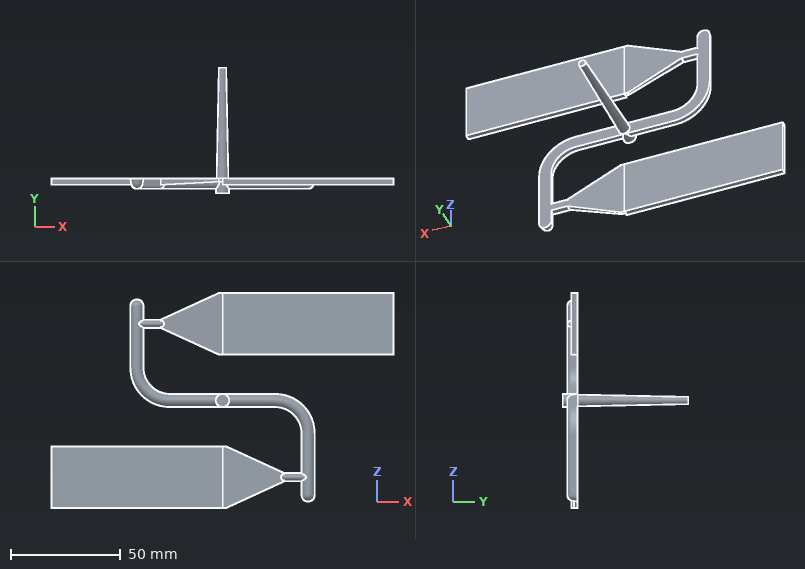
import cadquery as cq
import math


plate_length = 78.0
plate_height = 28.1
plate_thickness = 3.0
branch_z = 35.0

runner_width = 6.1
runner_depth = 4.8
arm_x = 39.0
arm_end_z = 43.0
bend_radius = 15.0

channel_draft = math.radians(10)

gate_width = 3.9
gate_depth = 4.7
gate_end_x = 28.1
land_length = 1.7
land_thickness = 1.5

sprue_length = 50.4
sprue_tip_diameter = 3.5
sprue_base_diameter = 5.5
slug_diameter = 6.1
slug_length = 6.9


def half_turn(shape):
    """Copy turned by 180 degrees about the sprue axis (Y)."""
    return shape.rotate((0, 0, 0), (0, 1, 0), 180)


def nose_points(width, depth):
    """Half width and depth of the wall's tangent point, and of a mid point on the round nose."""
    taper = math.tan(channel_draft)
    nose_radius = (width / 2 - depth * taper) / (1 / math.cos(channel_draft) - taper)
    centre_depth = depth - nose_radius

    def on_nose(angle):
        return (nose_radius * math.cos(angle), centre_depth + nose_radius * math.sin(angle))

    return on_nose(channel_draft), on_nose(math.pi / 4)


def channel_section(plane, width, depth):
    """Drafted channel with a full-round nose; local y is the depth."""
    (wall_x, wall_depth), _ = nose_points(width, depth)
    return (
        cq.Workplane(plane)
        .moveTo(-width / 2, 0)
        .lineTo(-wall_x, wall_depth)
        .threePointArc((0, depth), (wall_x, wall_depth))
        .lineTo(width / 2, 0)
        .close()
    )


def channel_end(width, depth, x, z):
    """Channel section revolved about its depth axis, rounding off a channel end."""
    (wall_x, wall_depth), nose_middle = nose_points(width, depth)
    plane = cq.Plane(origin=(x, 0, z), xDir=(1, 0, 0), normal=(0, 0, -1))
    return (
        cq.Workplane(plane)
        .lineTo(width / 2, 0)
        .lineTo(wall_x, wall_depth)
        .threePointArc(nose_middle, (0, depth))
        .close()
        .revolve(360, (0, 0), (0, 1))
    )


def channel(width, depth, start, direction, length):
    """Straight channel; its depth runs toward -Y."""
    run = cq.Vector(*direction)
    plane = cq.Plane(origin=start, xDir=cq.Vector(0, -1, 0).cross(run), normal=run)
    return channel_section(plane, width, depth).extrude(length)


def make_runner_half():
    """Half of the S-shaped runner: middle bar, bend, upright arm and rounded end."""
    bar = channel(runner_width, runner_depth, (0, 0, 0), (-1, 0, 0), arm_x - bend_radius)
    arm = channel(runner_width, runner_depth, (-arm_x, 0, bend_radius), (0, 0, 1), arm_end_z - bend_radius)
    arm_end = channel_end(runner_width, runner_depth, -arm_x, arm_end_z)
    bend_plane = cq.Plane(origin=(-arm_x, 0, bend_radius), xDir=(1, 0, 0), normal=(0, 0, -1))
    bend_section = channel_section(bend_plane, runner_width, runner_depth)
    bend = bend_section.revolve(90, (bend_radius, 0), (bend_radius, 1))
    return bar.union(bend).union(arm).union(arm_end)


def make_gate():
    """Small channel from the upright arm to the fan, with a rounded far end."""
    gate = channel(gate_width, gate_depth, (-arm_x, 0, branch_z), (1, 0, 0), arm_x - gate_end_x)
    return gate.union(channel_end(gate_width, gate_depth, -gate_end_x, branch_z))


def make_fan():
    """Fan that widens and thins from the gate to a thin land along the plate edge."""
    outline = (
        cq.Workplane("XZ")
        .moveTo(-gate_end_x, branch_z - gate_width / 2)
        .lineTo(-land_length, branch_z - plate_height / 2)
        .lineTo(0, branch_z - plate_height / 2)
        .lineTo(0, branch_z + plate_height / 2)
        .lineTo(-land_length, branch_z + plate_height / 2)
        .lineTo(-gate_end_x, branch_z + gate_width / 2)
        .close()
        .extrude(plate_thickness)
    )
    thickness_profile = (
        cq.Workplane("XY", origin=(0, 0, branch_z))
        .moveTo(-gate_end_x, 0)
        .lineTo(-gate_end_x, -plate_thickness)
        .lineTo(-land_length, -land_thickness)
        .lineTo(0, -land_thickness)
        .lineTo(0, 0)
        .close()
        .extrude(plate_height / 2, both=True)
    )
    return outline.intersect(thickness_profile)


def make_sprue():
    """Tapered sprue behind the runner and the cold slug through its front."""
    sprue = (
        cq.Workplane("XY")
        .lineTo(sprue_base_diameter / 2, 0)
        .lineTo(sprue_tip_diameter / 2, sprue_length)
        .lineTo(0, sprue_length)
        .close()
        .revolve(360, (0, 0), (0, 1))
    )
    slug = cq.Workplane("XZ").circle(slug_diameter / 2).extrude(slug_length)
    return sprue.union(slug)


def make_runner_tree():
    branch = make_runner_half().union(make_gate()).union(make_fan())
    return branch.union(half_turn(branch)).union(make_sprue())


def make_plate():
    """Flat plate whose inner edge meets the fan land at X = 0."""
    return cq.Workplane("XY").box(plate_length, plate_thickness, plate_height).translate(
        (plate_length / 2, -plate_thickness / 2, branch_z)
    )


runner_tree = make_runner_tree()
plates = []
for turn in (0, 180):
    plates.append(make_plate().rotate((0, 0, 0), (0, 1, 0), turn))

result = cq.Compound.makeCompound([runner_tree.val(), *[plate.val() for plate in plates]])